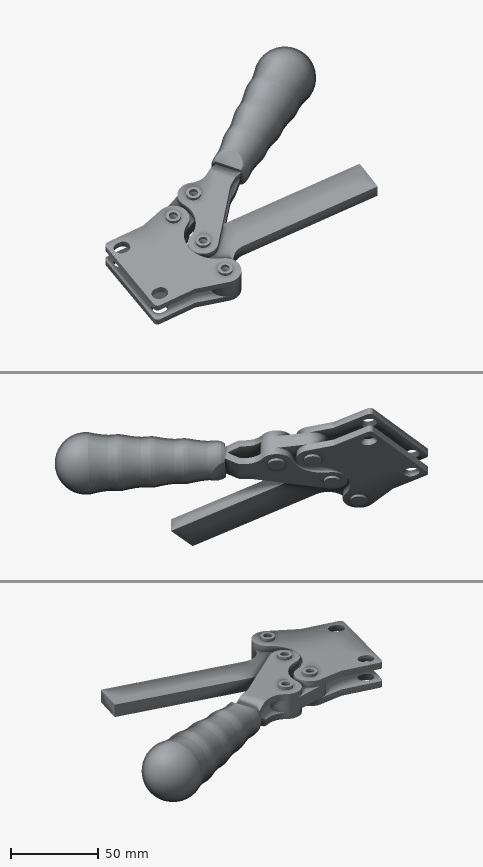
import cadquery as cq
import math


sheet = 4.1
half_gap = 4.0
half_stack = half_gap + sheet

base_pivot = (-24.4, 44.6)
arm_pivot = (25.55, 48.6)
handle_pivot = (0.65, 49.15)
link_pivot = (-33.3, 63.8)
lobe_radius = 9.3
handle_end_radius = 8.75

base_width = 57.0
shoulder_height = 26.5
corner_radius = 2.5
base_notch_radius = 18.5
slot_spacing = 41.2
slot_height = 7.5
slot_width = 8.2
slot_length = 9.8

bar_width = 20.3
bar_reach = 110.0
bar_root_radius = 11.0

handle_tilt = 34.1
handle_top_edge_tilt = 49.2
handle_notch_radius = 18.0
neck_width = 16.0
neck_blend_radius = 12.0
bend_angle = 28.5
fold_start = 81.5
tang_start = 60.0
inner_bend_radius = 2.4
outer_bend_radius = inner_bend_radius + sheet

ball_center = (-87.85, 159.5)
ball_radius = 18.0
grip_length = 80.0
ridge_count = 4
ridge_pitch = 19.0
ridge_taper = 1.6
first_valley = (13.2, 16.1)
first_crest = (18.6, 16.4)
first_crest_end = (20.9, 16.2)
scallop_middle = (7.3, 16.75)
grip_end_radius = 10.4
grip_flat_start = (72.0, 11.4)
grip_flat_end_height = 6.5
grip_flat_rounding = 1.0

head_radius = 4.3
head_top = 10.0
foot_radius = 4.9
foot_bottom = 9.5
dimple_radius = 2.6
dimple_depth = 2.0
dimple_cone_height = 1.5


def unit(angle):
    """Unit vector at an angle in degrees from +X."""
    return (math.cos(math.radians(angle)), math.sin(math.radians(angle)))


def offset(point, direction, distance):
    return (point[0] + direction[0] * distance, point[1] + direction[1] * distance)


def heading(start, end):
    """Angle in degrees of the direction from start to end."""
    return math.degrees(math.atan2(end[1] - start[1], end[0] - start[0]))


def toward(start, end, distance):
    return offset(start, unit(heading(start, end)), distance)


def apex(first, second, first_reach, second_reach):
    """Point at given distances from two points, on the left of the way from first to second."""
    span = math.dist(first, second)
    foot = (span**2 + first_reach**2 - second_reach**2) / (2 * span)
    lean = math.degrees(math.acos(foot / first_reach))
    return offset(first, unit(heading(first, second) + lean), first_reach)


def tangent_point(point, center, side):
    """Touch point on a lobe of a line from `point`, left (+1) or right (-1) of the way to it."""
    spread = math.degrees(math.acos(lobe_radius / math.dist(point, center)))
    return offset(center, unit(heading(center, point) - side * spread), lobe_radius)


def arc_to(outline, center, radius, end, middle_angle):
    """Continue an outline to `end` round a circle, passing the given angle on it."""
    return outline.threePointArc(offset(center, unit(middle_angle), radius), end)


def both_sides(solid):
    return solid.union(solid.mirror("XY"))


axis_angle = handle_tilt - 90
along = unit(axis_angle)
across = unit(handle_tilt)


def make_base_plates():
    """Two slotted sheets with bottom corners and shoulders rounded alike."""
    half_width = base_width / 2
    left_shoulder = (-half_width, shoulder_height)
    right_shoulder = (half_width, shoulder_height)
    notch_reach = lobe_radius + base_notch_radius
    notch = apex(base_pivot, arm_pivot, notch_reach, notch_reach)
    left_touch = tangent_point(left_shoulder, base_pivot, 1)
    right_touch = tangent_point(right_shoulder, arm_pivot, -1)

    outline = cq.Workplane("XY").workplane(offset=half_gap).moveTo(-half_width, 0)
    outline = outline.lineTo(*left_shoulder).lineTo(*left_touch)
    outline = arc_to(outline, base_pivot, lobe_radius, toward(base_pivot, notch, lobe_radius), 110)
    outline = arc_to(outline, notch, base_notch_radius, toward(arm_pivot, notch, lobe_radius), -90)
    outline = arc_to(outline, arm_pivot, lobe_radius, right_touch, 60)
    plate = outline.lineTo(*right_shoulder).lineTo(half_width, 0).close().extrude(sheet)

    lower_edges = cq.selectors.BoxSelector(
        (-base_width, -corner_radius, 0),
        (base_width, shoulder_height + corner_radius, head_top),
    )
    plate = plate.edges("|Z").edges(lower_edges).fillet(corner_radius)
    slots = (
        cq.Workplane("XY")
        .pushPoints([(-slot_spacing / 2, slot_height), (slot_spacing / 2, slot_height)])
        .slot2D(slot_length, slot_width, 90)
        .extrude(head_top)
    )
    return both_sides(plate.cut(slots))


def make_link():
    length = math.dist(base_pivot, link_pivot)
    middle = toward(base_pivot, link_pivot, length / 2)
    return (
        cq.Workplane("XY")
        .center(*middle)
        .slot2D(length + 2 * lobe_radius, 2 * lobe_radius, heading(base_pivot, link_pivot))
        .extrude(half_gap, both=True)
    )


def make_arm():
    """Bar square to the line between its two pivots, drawn with that line as local X."""
    span = math.dist(handle_pivot, arm_pivot)
    left = -lobe_radius
    right = left + bar_width
    root_x = right + bar_root_radius
    root_reach = lobe_radius + bar_root_radius
    root = (root_x, math.sqrt(root_reach**2 - (span - root_x) ** 2))

    outline = cq.Workplane("XY").moveTo(left, 0).lineTo(left, bar_reach).lineTo(right, bar_reach)
    outline = outline.lineTo(right, root[1])
    outline = arc_to(outline, root, bar_root_radius, toward((span, 0), root, lobe_radius), -135)
    outline = arc_to(outline, (span, 0), lobe_radius, (span, -lobe_radius), 0)
    outline = arc_to(outline.lineTo(0, -lobe_radius), (0, 0), lobe_radius, (left, 0), -135)
    arm = outline.close().extrude(half_gap, both=True)
    arm = arm.rotate((0, 0, 0), (0, 0, 1), heading(handle_pivot, arm_pivot))
    return arm.translate((handle_pivot[0], handle_pivot[1], 0))


def on_handle(distance, side):
    """Point at a distance along the grip axis and an offset to its right-hand side."""
    return offset(offset(ball_center, along, distance), across, side)


def handle_coordinates(point):
    """Distance along the grip axis and offset across it of a point."""
    dx = point[0] - ball_center[0]
    dy = point[1] - ball_center[1]
    return (dx * along[0] + dy * along[1], dx * across[0] + dy * across[1])


def handle_outline():
    """Flat outline shared by both handle sheets."""
    half_neck = neck_width / 2

    pivot_distance, pivot_side = handle_coordinates(link_pivot)
    hollow_side = -half_neck - neck_blend_radius
    hollow_reach = lobe_radius + neck_blend_radius
    hollow_distance = pivot_distance - math.sqrt(hollow_reach**2 - (hollow_side - pivot_side) ** 2)
    hollow = on_handle(hollow_distance, hollow_side)

    upper_normal = unit(handle_top_edge_tilt)
    upper_touch = offset(handle_pivot, upper_normal, handle_end_radius)
    blend_turn = handle_top_edge_tilt - handle_tilt
    touch_distance, touch_side = handle_coordinates(upper_touch)
    corner_distance = touch_distance - (touch_side - half_neck) / math.tan(math.radians(blend_turn))
    blend_setback = neck_blend_radius * math.tan(math.radians(blend_turn / 2))
    blend = on_handle(corner_distance - blend_setback, half_neck + neck_blend_radius)

    notch = apex(
        handle_pivot,
        link_pivot,
        handle_end_radius + handle_notch_radius,
        lobe_radius + handle_notch_radius,
    )

    outline = cq.Workplane("XY").moveTo(*on_handle(tang_start, -half_neck))
    outline = outline.lineTo(*on_handle(tang_start, half_neck))
    outline = outline.lineTo(*on_handle(corner_distance - blend_setback, half_neck))
    blend_end = offset(blend, upper_normal, -neck_blend_radius)
    outline = arc_to(outline, blend, neck_blend_radius, blend_end, 180 + handle_tilt + blend_turn / 2)
    outline = outline.lineTo(*upper_touch)
    end_touch = toward(handle_pivot, notch, handle_end_radius)
    outline = arc_to(outline, handle_pivot, handle_end_radius, end_touch, -60)
    outline = arc_to(outline, notch, handle_notch_radius, toward(link_pivot, notch, lobe_radius), 90)
    outline = arc_to(outline, link_pivot, lobe_radius, toward(link_pivot, hollow, lobe_radius), 210)
    hollow_end = on_handle(hollow_distance, -half_neck)
    outline = arc_to(outline, hollow, neck_blend_radius, hollow_end, 10)
    return outline.close()


def grip_plane():
    """Local X runs along the grip axis, local Y is +Z."""
    return cq.Plane(
        origin=(ball_center[0], ball_center[1], 0),
        xDir=(along[0], along[1], 0),
        normal=(-across[0], -across[1], 0),
    )


def make_handle():
    """Two sheets that lie together in the grip and fold apart to straddle the link and arm."""
    slope = math.tan(math.radians(bend_angle))
    bend_shift = sheet * math.tan(math.radians(bend_angle / 2))
    fold_end = fold_start + half_gap / slope
    far_end = handle_coordinates(handle_pivot)[0] + 2 * lobe_radius
    outer_bend = (fold_end - bend_shift, half_stack)
    inner_bend = (fold_start - bend_shift, sheet)
    folded_sheet = (
        cq.Workplane(grip_plane())
        .moveTo(tang_start, 0)
        .lineTo(fold_start, 0)
        .lineTo(fold_end, half_gap)
        .lineTo(far_end, half_gap)
        .lineTo(far_end, half_stack)
        .lineTo(*outer_bend)
        .lineTo(*inner_bend)
        .lineTo(tang_start, sheet)
        .close()
        .extrude(2 * ball_center[1], both=True)
    )
    for bend, radius in ((outer_bend, outer_bend_radius), (inner_bend, inner_bend_radius)):
        bend_point = (*on_handle(bend[0], 0), bend[1])
        bend_edge = cq.selectors.NearestToPointSelector(bend_point)
        folded_sheet = folded_sheet.edges(bend_edge).fillet(radius)
    return both_sides(handle_outline().extrude(half_stack).intersect(folded_sheet))


def make_grip():
    def step(point, index):
        return (point[0] + index * ridge_pitch, point[1] - index * ridge_taper)

    joint = first_crest_end[0] - ridge_pitch
    joint_radius = math.sqrt(ball_radius**2 - joint**2)
    profile = cq.Workplane(grip_plane()).moveTo(-ball_radius, 0)
    profile = profile.threePointArc((0, ball_radius), (joint, joint_radius))
    for index in range(ridge_count):
        profile = profile.threePointArc(step(scallop_middle, index), step(first_valley, index))
        profile = profile.lineTo(*step(first_crest, index))
        profile = profile.lineTo(*step(first_crest_end, index))
    profile = profile.lineTo(grip_length, grip_end_radius).lineTo(grip_length, 0).close()
    grip = profile.revolve(360, (0, 0, 0), (1, 0, 0))

    flat_cut = (
        cq.Workplane(grip_plane())
        .moveTo(*grip_flat_start)
        .lineTo(grip_length, grip_flat_end_height)
        .lineTo(grip_length, ball_radius)
        .lineTo(grip_flat_start[0], ball_radius)
        .close()
        .extrude(ball_radius, both=True)
    )
    grip = grip.cut(both_sides(flat_cut))
    return grip.faces("%PLANE and (not #Z)").edges("%ELLIPSE").fillet(grip_flat_rounding)


def make_disc(center, radius, bottom, top):
    return cq.Workplane("XY", origin=(*center, bottom)).circle(radius).extrude(top - bottom)


def make_rivet(center):
    shank_and_head = make_disc(center, head_radius, -half_stack, head_top)
    return shank_and_head.union(make_disc(center, foot_radius, -foot_bottom, -half_stack))


def make_dimple(center):
    """Drilled recess with a conical bottom in a rivet head."""
    floor = head_top - dimple_depth
    return (
        cq.Workplane("XZ", origin=(center[0], center[1], 0))
        .moveTo(0, head_top)
        .lineTo(dimple_radius, head_top)
        .lineTo(dimple_radius, floor)
        .lineTo(0, floor - dimple_cone_height)
        .close()
        .revolve(360, (0, 0, 0), (0, 1, 0))
    )


pivots = [base_pivot, arm_pivot, handle_pivot, link_pivot]
result = make_base_plates().union(make_link()).union(make_arm()).union(make_handle())
result = result.union(make_grip())
for pivot in pivots:
    result = result.union(make_rivet(pivot))
for pivot in pivots:
    result = result.cut(make_dimple(pivot))